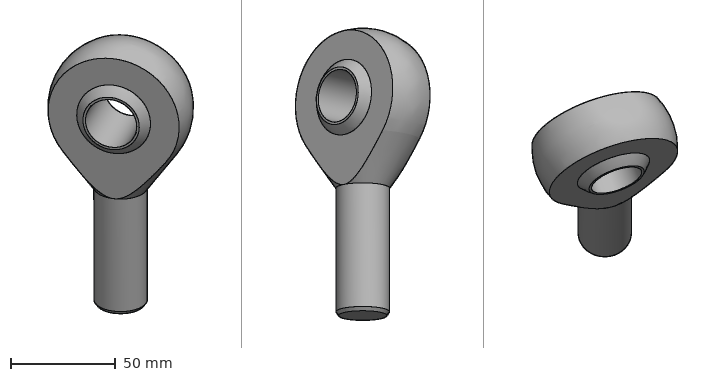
import cadquery as cq
import math

total_length = 139.7
head_radius = 34.9
head_width = 25.7
shank_radius = head_width / 2
neck_drop = 42.6
ball_radius = 22.4
ball_width = 34.9
bore_radius = 12.7
tip_chamfer_width = 1.3
tip_chamfer_height = 1.8

shank_end = head_radius - total_length

neck_distance = math.hypot(shank_radius, neck_drop)
neck_angle = math.atan2(-neck_drop, shank_radius)
tangent_angle = neck_angle + math.acos(head_radius / neck_distance)


def head_point(angle):
    return (head_radius * math.cos(angle), head_radius * math.sin(angle))


def make_body():
    """Revolve head, neck and shank about Z, then flatten the head."""
    middle_angle = (tangent_angle + math.pi / 2) / 2
    blank = (
        cq.Workplane("XZ")
        .moveTo(0, head_radius)
        .threePointArc(head_point(middle_angle), head_point(tangent_angle))
        .lineTo(shank_radius, -neck_drop)
        .lineTo(shank_radius, shank_end + tip_chamfer_height)
        .lineTo(shank_radius - tip_chamfer_width, shank_end)
        .lineTo(0, shank_end)
        .close()
        .revolve(360, (0, 0, 0), (0, 1, 0))
    )
    slab = cq.Workplane("XY").box(4 * head_radius, head_width, 4 * total_length)
    return blank.intersect(slab)


def make_ball():
    """Spherical bearing ball, cut flat at both ends."""
    slab = cq.Workplane("XY").box(4 * ball_radius, ball_width, 4 * ball_radius)
    return cq.Workplane("XY").sphere(ball_radius).intersect(slab)


bore = cq.Workplane("XZ").circle(bore_radius).extrude(ball_width, both=True)

result = make_body().union(make_ball()).cut(bore)